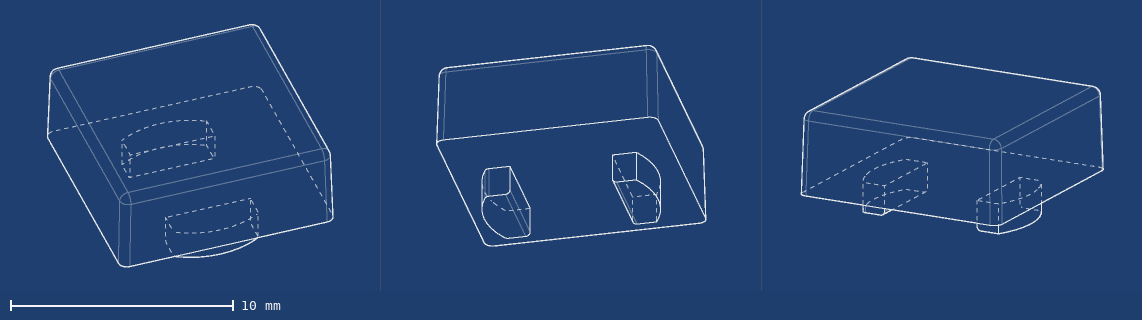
import cadquery as cq
import math

total_height = 5.3

cap_width = 10.2
cap_height = 3.9
draft_angle = 1.5
cap_round = 0.4

leg_height = total_height - cap_height
leg_outer_radius = 4.01
leg_inner_offset = 2.36
leg_width = 4.04
leg_tip_round = 0.2
leg_corner_round = 0.24


def make_cap():
    """Drafted block standing on Z = 0 with rounded corners and top edges."""
    cap = cq.Workplane("XY").rect(cap_width, cap_width).extrude(cap_height, taper=draft_angle)
    cap = cap.edges("not(<Z or >Z)").fillet(cap_round)
    return cap.faces(">Z").edges().fillet(cap_round)


def make_leg():
    """Leg on the +X side, with its flat inner face rounded off at the free end."""
    half_width = leg_width / 2
    arc_end = math.sqrt(leg_outer_radius**2 - half_width**2)
    leg = (
        cq.Workplane("XY")
        .moveTo(leg_inner_offset, -half_width)
        .lineTo(arc_end, -half_width)
        .threePointArc((leg_outer_radius, 0), (arc_end, half_width))
        .lineTo(leg_inner_offset, half_width)
        .close()
        .extrude(-leg_height)
    )
    return leg.faces("<X").edges("<Z").fillet(leg_tip_round)


left_leg = make_leg().mirror("YZ")

right_leg = make_leg()
right_leg = right_leg.edges("|Z").edges(">X").fillet(leg_corner_round)

result = make_cap().union(left_leg).union(right_leg)